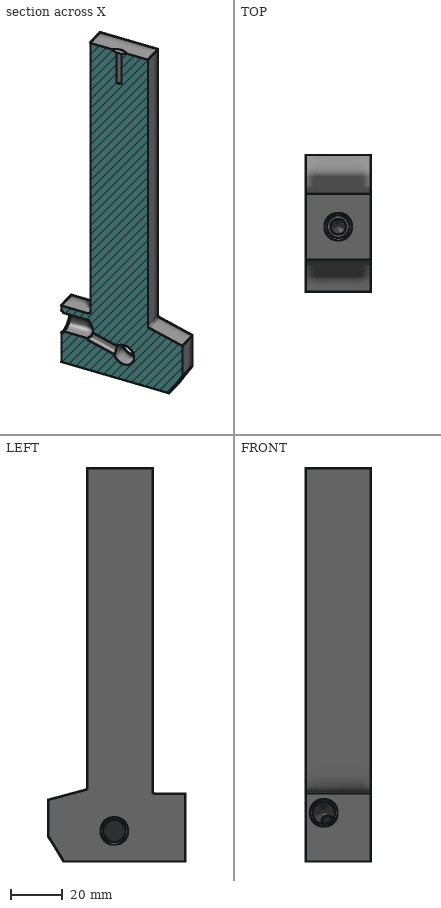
import cadquery as cq
import math

WIDTH = 25.21
TOTAL_HEIGHT = 152.4
HEAD_LENGTH = 53.09
SHANK_DEPTH = 25.4

FRONT_STEP_LENGTH = 12.6
FRONT_STEP_HEIGHT = 26.4
NOSE_TOP_HEIGHT = 24.0
NOSE_SLOPE_DEG = 15.0
NOSE_CHAMFER_LENGTH = 6.0
NOSE_CHAMFER_HEIGHT = 9.8
ROOT_RADIUS = 0.7

X_LEFT = -WIDTH / 2
Y_SHANK_FRONT = -SHANK_DEPTH / 2
Y_SHANK_BACK = SHANK_DEPTH / 2
Y_FRONT = Y_SHANK_FRONT - FRONT_STEP_LENGTH
Y_NOSE = Y_FRONT + HEAD_LENGTH
NOSE_ROOT_HEIGHT = NOSE_TOP_HEIGHT + (Y_NOSE - Y_SHANK_BACK) * math.tan(math.radians(NOSE_SLOPE_DEG))

PORT_DIAMETER = 8.71
MOUTH_DIAMETER = 10.7
MOUTH_ANGLE_DEG = 90.0
DRILL_POINT_ANGLE_DEG = 118.0

TOP_PORT_DEPTH = 15.0
TOP_DRILL_DIAMETER = 6.0
TOP_DRILL_DEPTH = 100.0

FRONT_PORT_INSET = 7.0
FRONT_PORT_X = X_LEFT + FRONT_PORT_INSET
FRONT_PORT_Z = 18.9
FRONT_PORT_DEPTH = 12.0

SIDE_PORT_SETBACK = 27.5
SIDE_PORT_Y = Y_FRONT + SIDE_PORT_SETBACK
SIDE_PORT_Z = 11.9
SIDE_PORT_DEPTH = 12.0

CHANNEL_DIAMETER = 4.2
CHANNEL_START_OFFSET = cq.Vector(1.3, FRONT_PORT_DEPTH, -2.8)
CHANNEL_START = cq.Vector(FRONT_PORT_X, Y_FRONT, FRONT_PORT_Z) + CHANNEL_START_OFFSET
CHANNEL_END_INSET = 8.5
CHANNEL_END = cq.Vector(X_LEFT + CHANNEL_END_INSET, SIDE_PORT_Y, SIDE_PORT_Z)


def cone_height(diameter, angle_deg):
    """Height of a cone with the given base diameter and included angle."""
    return diameter / 2 / math.tan(math.radians(angle_deg / 2))


def drill(origin, direction, diameter, depth):
    """Round hole of the given full-diameter depth, ending in a drill point."""
    radius = diameter / 2
    hole = cq.Solid.makeCylinder(radius, depth, origin, direction)
    point_height = cone_height(diameter, DRILL_POINT_ANGLE_DEG)
    point = cq.Solid.makeCone(radius, 0, point_height, origin + direction * depth, direction)
    return hole.fuse(point)


def mouth(origin, direction):
    """Countersink that opens a port from the bore to the mouth diameter."""
    height = cone_height(MOUTH_DIAMETER - PORT_DIAMETER, MOUTH_ANGLE_DEG)
    return cq.Solid.makeCone(MOUTH_DIAMETER / 2, PORT_DIAMETER / 2, height, origin, direction)


def make_body():
    outline = [
        (Y_FRONT, 0),
        (Y_NOSE - NOSE_CHAMFER_LENGTH, 0),
        (Y_NOSE, NOSE_CHAMFER_HEIGHT),
        (Y_NOSE, NOSE_TOP_HEIGHT),
        (Y_SHANK_BACK, NOSE_ROOT_HEIGHT),
        (Y_SHANK_BACK, TOTAL_HEIGHT),
        (Y_SHANK_FRONT, TOTAL_HEIGHT),
        (Y_SHANK_FRONT, FRONT_STEP_HEIGHT),
        (Y_FRONT, FRONT_STEP_HEIGHT),
    ]
    body = cq.Workplane("YZ", origin=(X_LEFT, 0, 0)).polyline(outline).close().extrude(WIDTH)
    roots = [(Y_SHANK_FRONT, FRONT_STEP_HEIGHT), (Y_SHANK_BACK, NOSE_ROOT_HEIGHT)]
    for y, z in roots:
        body = body.edges(cq.selectors.NearestToPointSelector((0, y, z))).fillet(ROOT_RADIUS)
    return body


def top_port():
    origin = cq.Vector(0, 0, TOTAL_HEIGHT)
    down = cq.Vector(0, 0, -1)
    bore = cq.Solid.makeCylinder(PORT_DIAMETER / 2, TOP_PORT_DEPTH, origin, down)
    return bore.fuse(drill(origin, down, TOP_DRILL_DIAMETER, TOP_DRILL_DEPTH), mouth(origin, down))


def front_port():
    origin = cq.Vector(FRONT_PORT_X, Y_FRONT, FRONT_PORT_Z)
    inward = cq.Vector(0, 1, 0)
    return drill(origin, inward, PORT_DIAMETER, FRONT_PORT_DEPTH).fuse(mouth(origin, inward))


def side_port():
    """Flat-bottomed port in the left face."""
    origin = cq.Vector(X_LEFT, SIDE_PORT_Y, SIDE_PORT_Z)
    inward = cq.Vector(1, 0, 0)
    bore = cq.Solid.makeCylinder(PORT_DIAMETER / 2, SIDE_PORT_DEPTH, origin, inward)
    return bore.fuse(mouth(origin, inward))


def channel():
    path = CHANNEL_END - CHANNEL_START
    return cq.Solid.makeCylinder(CHANNEL_DIAMETER / 2, path.Length, CHANNEL_START, path.normalized())


result = make_body()
for cutter in (top_port(), front_port(), side_port(), channel()):
    result = result.cut(cq.Workplane(obj=cutter))